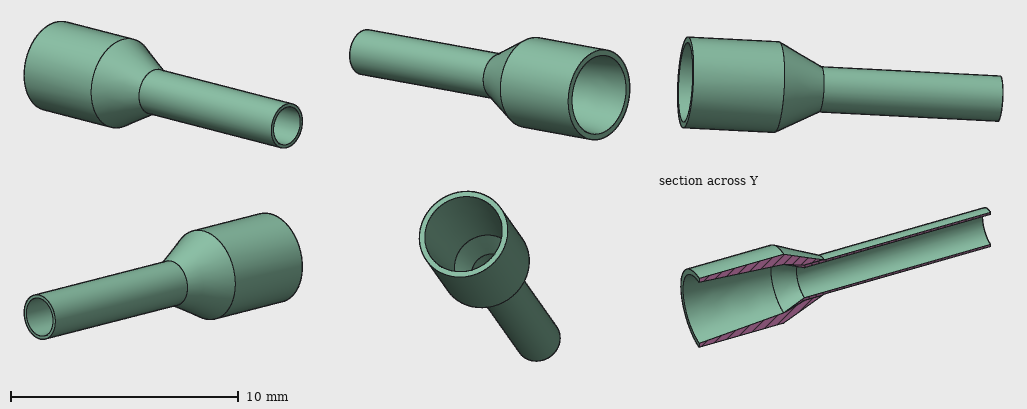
import cadquery as cq

total_length = 14.0
sleeve_radius = 2.0
barrel_length = 4.06
shoulder_length = 1.95
mouth_radius = 1.75
tube_radius = 1.001
bore_radius = 0.85
flare_radius = 1.39
flare_length = 1.0

mouth_x = -total_length / 2
shoulder_x = mouth_x + barrel_length
sleeve_end_x = shoulder_x + shoulder_length
flare_rim_x = shoulder_x
flare_end_x = flare_rim_x + flare_length
tip_x = total_length / 2


def revolve_profile(points):
    """Revolve a closed (x, radius) outline around the X axis."""
    return cq.Workplane("XZ").polyline(points).close().revolve(360, (0, 0, 0), (1, 0, 0))


def make_sleeve():
    """Sleeve with a tapered entry and a seat that fits the outside of the flared tube."""
    return revolve_profile([
        (mouth_x, mouth_radius),
        (mouth_x, sleeve_radius),
        (shoulder_x, sleeve_radius),
        (sleeve_end_x, tube_radius),
        (flare_end_x, tube_radius),
        (flare_rim_x, flare_radius),
    ])


def make_tube():
    """Thin tube whose inner end flares into a funnel with a sharp rim."""
    return revolve_profile([
        (flare_rim_x, flare_radius),
        (flare_end_x, tube_radius),
        (tip_x, tube_radius),
        (tip_x, bore_radius),
        (flare_end_x, bore_radius),
    ])


sleeve = make_sleeve()
tube = make_tube()
result = cq.Compound.makeCompound([sleeve.val(), tube.val()])